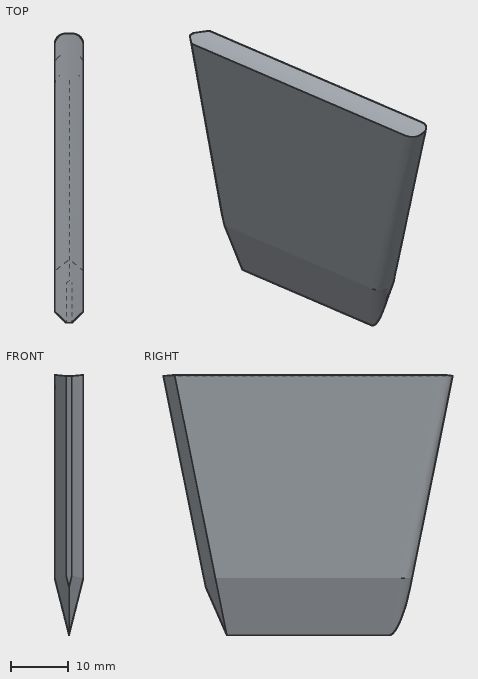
import cadquery as cq

length = 49.95
thickness = 5.0
height = 44.95

cutting_edge_length = 27.95
bevel_height = 9.9
end_depth = 2.0
chamfer_width = 2.0
top_sag = 0.2
bevel_chamfer_depth = 1.9

half_thickness = thickness / 2
nose_half_width = half_thickness - chamfer_width
top_flat_half_length = length / 2 - end_depth
edge_half_length = cutting_edge_length / 2
taper = (top_flat_half_length - edge_half_length) / (height - top_sag)
overlap = 20.0


def flat_half_length(z):
    """Distance from the middle to the end of the flat sides at height z."""
    return edge_half_length + taper * z


def blade_section(z):
    """Full-thickness outline, rounded at +Y and chamfered at -Y."""
    flat = flat_half_length(z)
    outline = (
        cq.Workplane("XY", origin=(0, 0, z))
        .moveTo(-half_thickness, -flat)
        .lineTo(-nose_half_width, -flat - end_depth)
        .lineTo(nose_half_width, -flat - end_depth)
        .lineTo(half_thickness, -flat)
        .lineTo(half_thickness, flat)
        .radiusArc((nose_half_width, flat + end_depth), -end_depth)
        .lineTo(-nose_half_width, flat + end_depth)
        .radiusArc((-half_thickness, flat), -end_depth)
        .close()
    )
    return outline.val()


def tapered_blade():
    return cq.Workplane(cq.Solid.makeLoft([blade_section(0), blade_section(height)], True))


def bevel_prism(end):
    """Sweep one end profile along its bevel edge; end is +1 for round, -1 for chamfer."""
    flat = flat_half_length(bevel_height)
    profile = (
        cq.Workplane("XY", origin=(0, end * flat, bevel_height))
        .moveTo(-overlap, -end * 2 * length)
        .lineTo(half_thickness, -end * 2 * length)
        .lineTo(half_thickness, 0)
    )
    if end > 0:
        profile = profile.radiusArc((nose_half_width, end_depth), -end_depth).lineTo(-overlap, end_depth)
    else:
        chamfer_slope = bevel_chamfer_depth / chamfer_width
        profile = profile.lineTo(-overlap, -chamfer_slope * (half_thickness + overlap))
    wire = profile.close().val()

    sweep = cq.Vector(half_thickness, end * (flat - edge_half_length), bevel_height)
    steps_down = 3
    steps_up = 6
    start = wire.translate(sweep * -steps_down)
    return cq.Workplane(cq.Solid.extrudeLinear(start, [], sweep * (steps_down + steps_up)))


def beveled_half():
    """The x >= 0 half of the blade."""
    half_space = cq.Workplane("XY").box(
        thickness, 2 * length, height, centered=(False, True, False)
    )
    return (
        tapered_blade()
        .intersect(half_space)
        .intersect(bevel_prism(1))
        .intersect(bevel_prism(-1))
    )


def top_hollow():
    """Cylinder along Y that leaves the two long top edges at full height."""
    radius = (half_thickness**2 + top_sag**2) / (2 * top_sag)
    return (
        cq.Workplane("XZ", origin=(0, length, 0))
        .center(0, height - top_sag + radius)
        .circle(radius)
        .extrude(2 * length)
    )


half = beveled_half()
result = half.union(half.mirror("YZ")).cut(top_hollow())